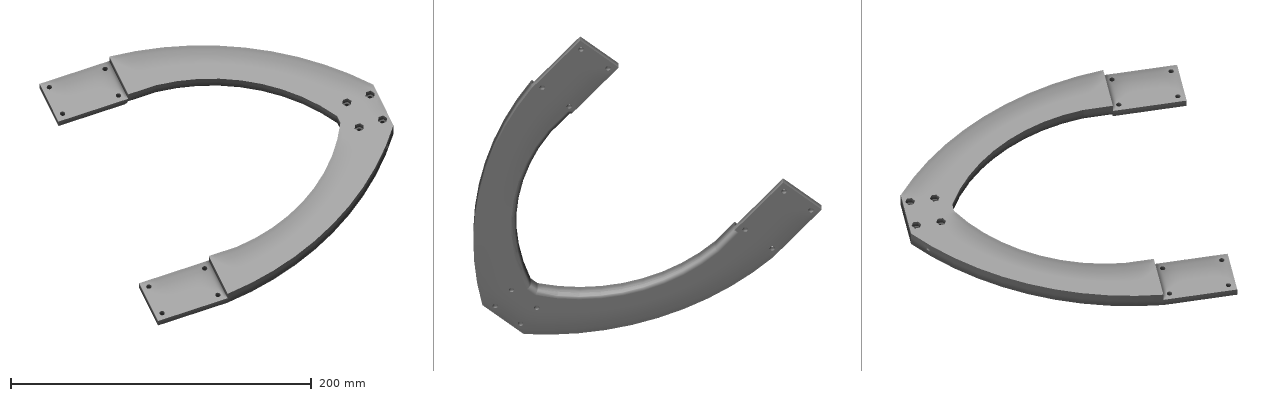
import cadquery as cq
import math

WIDTH = 210.0
LENGTH = 204.0
THICKNESS = 10.0

PAD_LENGTH = 50.0
PAD_THICKNESS = THICKNESS / 2
PAD_WIDTH = 33.5
PAD_HOLE_DIAMETER = 3.5
PAD_HOLE_MARGIN = 5.0

ARCH_FOOT_HALF_WIDTH = WIDTH / 2
FRONT_HALF_WIDTH = 18.0
OUTER_RADIUS = 215.0

INNER_HALF_WIDTH = WIDTH / 2 - PAD_WIDTH
INNER_ARC_START = 70.0
CROWN_HALF_WIDTH = 3.0
CROWN_Y = 172.0
INNER_RADIUS = 128.0
INNER_FILLET_RADIUS = 3.2

NUT_HOLE_DIAMETER = 3.5
NUT_ACROSS_FLATS = 5.7
NUT_POCKET_DEPTH = 4.0
NUT_SPACING_X = 22.0
NUT_SPACING_Y = 16.7
NUT_FRONT_MARGIN = 5.0

CROSS_HOLE_DIAMETER = 2.0
CROSS_HOLE_FRONT_MARGIN = 9.2


def arc_midpoint(start, end, radius):
    """Middle of the minor arc that bulges to the left of the path from start to end."""
    dx = end[0] - start[0]
    dy = end[1] - start[1]
    chord = math.hypot(dx, dy)
    sagitta = radius - math.sqrt(radius**2 - (chord / 2) ** 2)
    middle_x = (start[0] + end[0]) / 2 - sagitta * dy / chord
    middle_y = (start[1] + end[1]) / 2 + sagitta * dx / chord
    return middle_x, middle_y


def mirrored(point):
    return -point[0], point[1]


def make_arch():
    foot = (-ARCH_FOOT_HALF_WIDTH, PAD_LENGTH)
    front = (-FRONT_HALF_WIDTH, LENGTH)
    middle = arc_midpoint(foot, front, OUTER_RADIUS)
    return (
        cq.Workplane("XY")
        .moveTo(*foot)
        .threePointArc(middle, front)
        .lineTo(*mirrored(front))
        .threePointArc(mirrored(middle), mirrored(foot))
        .close()
        .extrude(THICKNESS)
    )


def make_pad_bar():
    """Make a full-width bar; the inner opening splits it into the two pads."""
    return cq.Workplane("XY").box(WIDTH, PAD_LENGTH, PAD_THICKNESS, centered=(True, False, False))


def make_opening():
    leg_end = (-INNER_HALF_WIDTH, 0)
    arc_start = (-INNER_HALF_WIDTH, INNER_ARC_START)
    crown = (-CROWN_HALF_WIDTH, CROWN_Y)
    middle = arc_midpoint(arc_start, crown, INNER_RADIUS)
    return (
        cq.Workplane("XY")
        .moveTo(*leg_end)
        .lineTo(*arc_start)
        .threePointArc(middle, crown)
        .lineTo(*mirrored(crown))
        .threePointArc(mirrored(middle), mirrored(arc_start))
        .lineTo(*mirrored(leg_end))
        .close()
        .extrude(THICKNESS)
    )


def round_inner_edge(arch):
    """Round the lower edge of the inner wall: the short straights, the arcs and the crown."""
    margin = 1.0
    inner_edges = cq.selectors.BoxSelector(
        (-INNER_HALF_WIDTH - margin, PAD_LENGTH, -margin),
        (INNER_HALF_WIDTH + margin, CROWN_Y + margin, margin),
    )
    return arch.edges(inner_edges).fillet(INNER_FILLET_RADIUS)


def cut_fillet_run_outs(body):
    """Fade the inner fillet out into the pads with a quarter-round flare at each end."""
    radius = INNER_FILLET_RADIUS
    arc_depth = radius * (1 - math.sqrt(0.5))
    flare = (
        cq.Workplane("XZ")
        .lineTo(radius, 0)
        .threePointArc((arc_depth, arc_depth), (0, radius))
        .close()
        .revolve(360, (0, 0), (0, 1))
    )
    for x in (-INNER_HALF_WIDTH, INNER_HALF_WIDTH):
        body = body.cut(flare.translate((x, PAD_LENGTH, 0)))
    return body


def cut_pad_holes(body):
    outer_x = WIDTH / 2 - PAD_HOLE_MARGIN
    inner_x = INNER_HALF_WIDTH + PAD_HOLE_MARGIN
    points = [
        (x, y)
        for x in (-outer_x, -inner_x, inner_x, outer_x)
        for y in (PAD_HOLE_MARGIN, PAD_LENGTH - PAD_HOLE_MARGIN)
    ]
    holes = cq.Workplane("XY").pushPoints(points).circle(PAD_HOLE_DIAMETER / 2).extrude(THICKNESS)
    return body.cut(holes)


def cut_nut_holes(body):
    center_y = LENGTH - NUT_FRONT_MARGIN - NUT_SPACING_Y / 2
    across_corners = NUT_ACROSS_FLATS / math.cos(math.pi / 6)
    holes = (
        cq.Workplane("XY")
        .center(0, center_y)
        .rarray(NUT_SPACING_X, NUT_SPACING_Y, 2, 2)
        .circle(NUT_HOLE_DIAMETER / 2)
        .extrude(THICKNESS)
    )
    pocket_plane = cq.Plane((0, center_y, THICKNESS), xDir=(0, 1, 0), normal=(0, 0, 1))
    pockets = (
        cq.Workplane(pocket_plane)
        .rarray(NUT_SPACING_Y, NUT_SPACING_X, 2, 2)
        .polygon(6, across_corners)
        .extrude(-NUT_POCKET_DEPTH)
    )
    return body.cut(holes).cut(pockets)


def cut_cross_hole(body):
    hole = (
        cq.Workplane("YZ")
        .center(LENGTH - CROSS_HOLE_FRONT_MARGIN, THICKNESS / 2)
        .circle(CROSS_HOLE_DIAMETER / 2)
        .extrude(WIDTH / 2, both=True)
    )
    return body.cut(hole)


opening = make_opening()
arch = round_inner_edge(make_arch().cut(opening))
pads = make_pad_bar().cut(opening)
body = cut_fillet_run_outs(arch.union(pads))
body = cut_pad_holes(body)
body = cut_nut_holes(body)
result = cut_cross_hole(body)